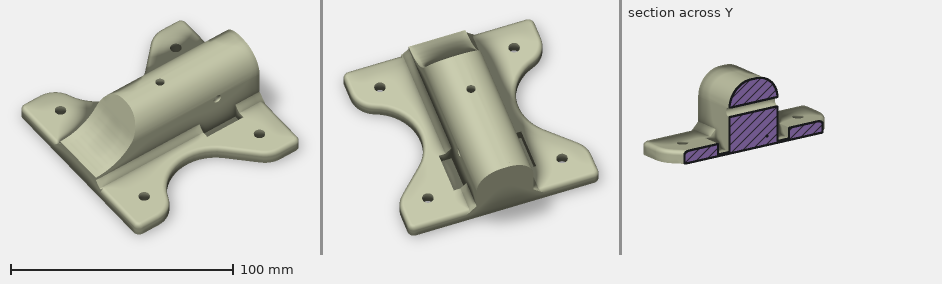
import cadquery as cq
import math

plate_size = 91.0
plate_thickness = 6.0
corner_radius = 3.0
edge_round = 2.0
half_size = plate_size / 2

lobe_radius = 12.0
lobe_center_y = 33.9
scallop_radius = 22.0

overall_height = 33.0
block_width = 27.1
crown_flat_width = 3.0
crown_radius = (block_width - crown_flat_width) / 2
foot_top = 9.0
foot_bottom = plate_thickness - edge_round

ramp_end_height = 10.65
ramp_radius = 24.0
ramp_angle = math.radians(63)

pocket_width = 39.3
pocket_start_y = 12.0
pocket_length = 20.0
pocket_floor_height = 1.0

blunt_foot_x = 17.3

mount_hole_diameter = 5.2
mount_hole_spacing = 64.1
pin_hole_diameter = 4.2
side_pin_y = 22.0
side_pin_height = 19.6


def polar(center, radius, angle):
    return (center[0] + radius * math.cos(angle), center[1] + radius * math.sin(angle))


def make_scallop():
    """Material removed from the -X side of the plate, through its full thickness."""
    lobe_x = lobe_radius - half_size
    upper_lobe = (lobe_x, lobe_center_y)
    lower_lobe = (lobe_x, -lobe_center_y)

    center_distance = scallop_radius + lobe_radius
    center = (-half_size, math.sqrt(center_distance**2 - lobe_radius**2) - lobe_center_y)
    contact_angle = math.atan2(lower_lobe[1] - center[1], lower_lobe[0] - center[0])

    offset_x = upper_lobe[0] - center[0]
    offset_y = upper_lobe[1] - center[1]
    lobe_direction = math.atan2(offset_y, offset_x)
    flank_angle = lobe_direction - math.acos(center_distance / math.hypot(offset_x, offset_y))

    upper_mid_angle = (math.pi + flank_angle + math.pi) / 2
    lower_mid_angle = (math.pi + contact_angle + math.pi) / 2
    return (
        cq.Workplane("XY")
        .moveTo(-half_size, lobe_center_y)
        .threePointArc(
            polar(upper_lobe, lobe_radius, upper_mid_angle),
            polar(upper_lobe, lobe_radius, flank_angle + math.pi),
        )
        .lineTo(*polar(center, scallop_radius, flank_angle))
        .threePointArc(
            polar(center, scallop_radius, (flank_angle + contact_angle) / 2),
            polar(center, scallop_radius, contact_angle),
        )
        .threePointArc(
            polar(lower_lobe, lobe_radius, lower_mid_angle),
            (-half_size, -lobe_center_y),
        )
        .close()
        .extrude(plate_thickness)
    )


def make_plate():
    plate = cq.Workplane("XY").box(plate_size, plate_size, plate_thickness, centered=(True, True, False))
    plate = plate.edges("|Z").fillet(corner_radius)
    scallop = make_scallop()
    plate = plate.cut(scallop).cut(scallop.mirror("YZ"))
    plate = plate.faces(">Z").edges().fillet(edge_round)
    return (
        plate.faces("<Z")
        .workplane(origin=(0, 0, 0))
        .rect(mount_hole_spacing, mount_hole_spacing, forConstruction=True)
        .vertices()
        .hole(mount_hole_diameter)
    )


def make_block():
    """Round-topped bar with 45 degree feet, running the full length of the plate."""
    half_width = block_width / 2
    half_flat = crown_flat_width / 2
    foot_half_width = half_width + foot_top - foot_bottom
    crown_start = overall_height - crown_radius
    crown_mid = crown_radius * math.sin(math.pi / 4)
    return (
        cq.Workplane("XZ")
        .moveTo(-foot_half_width, 0)
        .lineTo(foot_half_width, 0)
        .lineTo(foot_half_width, foot_bottom)
        .lineTo(half_width, foot_top)
        .lineTo(half_width, crown_start)
        .threePointArc((half_flat + crown_mid, crown_start + crown_mid), (half_flat, overall_height))
        .lineTo(-half_flat, overall_height)
        .threePointArc((-half_flat - crown_mid, crown_start + crown_mid), (-half_width, crown_start))
        .lineTo(-half_width, foot_top)
        .lineTo(-foot_half_width, foot_bottom)
        .close()
        .extrude(half_size, both=True)
    )


def blunt_front_foot(block):
    """Square off the tip of the +X foot between the -Y end and the pocket."""
    foot_length = half_size + pocket_start_y
    trim = (
        cq.Workplane("XY")
        .box(half_size, foot_length, plate_thickness, centered=False)
        .translate((blunt_foot_x, -half_size, 0))
    )
    square_tip = (
        cq.Workplane("XY")
        .box(blunt_foot_x, foot_length, plate_thickness, centered=False)
        .translate((0, -half_size, 0))
    )
    return block.cut(trim).union(square_tip)


def make_ramp_cut():
    """Arc rising from the -Y end, continued by its tangent up to the crown."""
    center = (-half_size, ramp_end_height + ramp_radius)
    arc_mid = polar(center, ramp_radius, ramp_angle / 2 - math.pi / 2)
    arc_end = polar(center, ramp_radius, ramp_angle - math.pi / 2)
    top_y = arc_end[0] + (overall_height - arc_end[1]) / math.tan(ramp_angle)
    return (
        cq.Workplane("YZ")
        .moveTo(-half_size, ramp_end_height)
        .threePointArc(arc_mid, arc_end)
        .lineTo(top_y, overall_height)
        .lineTo(-half_size, overall_height)
        .close()
        .extrude(block_width, both=True)
    )


def make_pocket(side):
    """Pocket beside the block, side = -1 or +1 along X, sunk into the plate."""
    depth = (pocket_width - block_width) / 2
    return (
        cq.Workplane("XY")
        .box(depth, pocket_length, overall_height, centered=(True, False, False))
        .translate((side * (block_width + depth) / 2, pocket_start_y, pocket_floor_height))
    )


def make_pin_holes():
    pin_radius = pin_hole_diameter / 2
    vertical = cq.Workplane("XY").circle(pin_radius).extrude(overall_height)
    crosswise = (
        cq.Workplane("YZ")
        .center(side_pin_y, side_pin_height)
        .circle(pin_radius)
        .extrude(block_width, both=True)
    )
    return vertical.union(crosswise)


result = make_plate().union(blunt_front_foot(make_block()))
result = result.cut(make_ramp_cut())
for side in (-1, 1):
    result = result.cut(make_pocket(side))
result = result.cut(make_pin_holes())